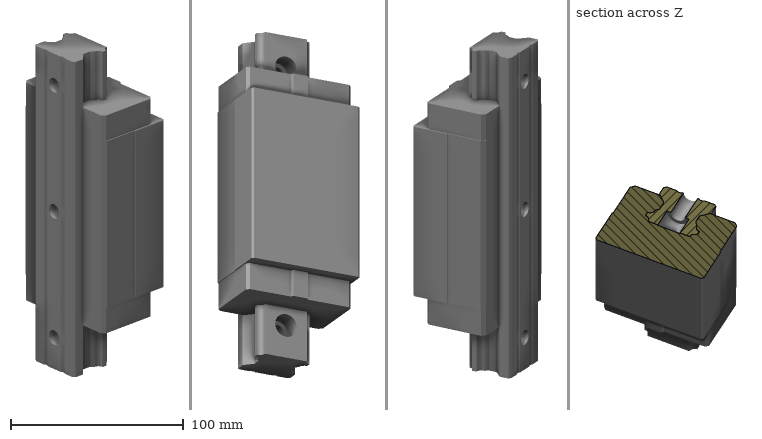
import cadquery as cq
import math


rail_length = 200.0
rail_width = 34.0
rail_height = 29.0
foot_chamfer_width = 1.5
foot_chamfer_height = 1.2
foot_top = 7.0
waist_width = 23.5
waist_bottom = 12.0
waist_top = 17.2
neck_half_width = 12.8
neck_level = 18.2
ball_radius = 3.5
side_land_height = 3.0

relief_spacing = 14.5
relief_width = 3.2
relief_floor_width = 2.0
relief_depth = 0.5

hole_pitch = 80.0
hole_count = 3
hole_diameter = 9.0
counterbore_diameter = 14.0
counterbore_depth = 12.0

block_length = 105.8
block_width = 70.0
block_top = 55.0
block_top_chamfer = 1.2
skirt_width = 69.0
skirt_top = 31.8

carriage_length = 138.2
cap_width = 68.0
cap_top = 46.5
cap_top_chamfer = 1.8
bump_top = 48.0
bump_base_width = 11.2
bump_top_width = 9.5

carriage_bottom = 7.5
skirt_chamfer = 2.2


def mirrored(points):
    """Close a right-hand outline, listed bottom to top, with its mirror image about X = 0."""
    return points + [(-x, y) for x, y in reversed(points)]


def centred_prism(points, length):
    """Extrude a closed outline along Z, centred on Z = 0."""
    return cq.Workplane("XY").polyline(points).close().extrude(length / 2, both=True)


def make_rail_blank():
    """Rail section with its ball grooves, before relief grooves and holes."""
    side = rail_width / 2
    groove_inner = side - ball_radius
    upper_land = rail_height - ball_radius
    lower_land = upper_land - side_land_height
    lower_centre = lower_land - ball_radius
    arc_offset = ball_radius * math.sqrt(0.5)

    return (
        cq.Workplane("XY")
        .moveTo(0, 0)
        .lineTo(side - foot_chamfer_width, 0)
        .lineTo(side, foot_chamfer_height)
        .lineTo(side, foot_top)
        .lineTo(waist_width / 2, waist_bottom)
        .lineTo(waist_width / 2, waist_top)
        .lineTo(neck_half_width, neck_level)
        .lineTo(groove_inner, lower_centre)
        .threePointArc((side - arc_offset, lower_centre + arc_offset), (side, lower_land))
        .lineTo(side, upper_land)
        .threePointArc((side - arc_offset, rail_height - arc_offset), (groove_inner, rail_height))
        .lineTo(0, rail_height)
        .mirrorY()
        .extrude(rail_length / 2, both=True)
    )


def make_relief_groove(centre_x):
    """Shallow trapezoidal groove cutter along the underside of the rail."""
    half_width = relief_width / 2
    half_floor = relief_floor_width / 2
    outline = mirrored([(half_width, 0), (half_floor, relief_depth)])
    return centred_prism(outline, rail_length).translate((centre_x, 0, 0))


def make_mounting_hole(centre_z):
    """Counterbored hole cutter across the rail height."""
    shank = cq.Workplane("XZ").circle(hole_diameter / 2).extrude(-rail_height)
    counterbore = (
        cq.Workplane("XZ", origin=(0, rail_height, 0))
        .circle(counterbore_diameter / 2)
        .extrude(counterbore_depth)
    )
    return shank.union(counterbore).translate((0, 0, centre_z))


def make_rail(blank):
    rail = blank
    for direction in (-1, 1):
        rail = rail.cut(make_relief_groove(direction * relief_spacing / 2))
    for index in range(hole_count):
        rail = rail.cut(make_mounting_hole((index - (hole_count - 1) / 2) * hole_pitch))
    return rail


def make_block():
    """Central block, stepped in along its lower sides."""
    outline = mirrored([
        (skirt_width / 2 - skirt_chamfer, carriage_bottom),
        (skirt_width / 2, carriage_bottom + skirt_chamfer),
        (skirt_width / 2, skirt_top),
        (block_width / 2, skirt_top),
        (block_width / 2, block_top - block_top_chamfer),
        (block_width / 2 - block_top_chamfer, block_top),
    ])
    return centred_prism(outline, block_length)


def make_caps():
    """Both end caps as one core that runs through the block."""
    outline = mirrored([
        (cap_width / 2 - skirt_chamfer, carriage_bottom),
        (cap_width / 2, carriage_bottom + skirt_chamfer),
        (cap_width / 2, cap_top - cap_top_chamfer),
        (cap_width / 2 - cap_top_chamfer, cap_top),
        (bump_base_width / 2, cap_top),
        (bump_top_width / 2, bump_top),
    ])
    return centred_prism(outline, carriage_length)


def make_carriage(rail_blank):
    """Block and end caps, with a channel that fits the rail section."""
    return make_block().union(make_caps()).cut(rail_blank)


rail_blank = make_rail_blank()
rail = make_rail(rail_blank)
carriage = make_carriage(rail_blank)

result = cq.Compound.makeCompound([rail.val(), carriage.val()])